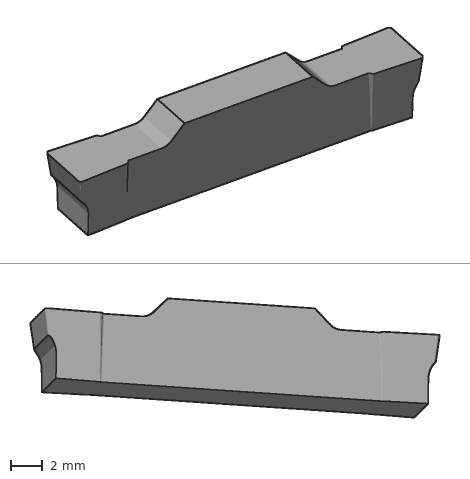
import cadquery as cq
import math

length = 25.8
height = 5.78
end_width = 4.02

body_width = 3.2
ledge_height = 4.5
crown_length = 9.6
ledge_fillet = 1.03

head_root = 9.3
head_root_width = 3.7
flank_inset = 0.2
blend_radius = 0.194
corner_radius = 0.2

face_bottom = 2.79
face_setback = 0.23
foot_height = 1.6
foot_setback = 0.75
relief_radius = 1.63

edge_margin = 0.03

half_length = length / 2
crown_rise = height - ledge_height
slope_foot = crown_length / 2 + crown_rise


def side_profile():
    """Lengthwise outline in the YZ plane with sloped, undercut ends."""
    foot = half_length - foot_setback
    face = half_length - face_setback
    return (
        cq.Workplane("YZ")
        .moveTo(-foot, 0)
        .lineTo(foot, 0)
        .lineTo(foot, foot_height)
        .radiusArc((face, face_bottom), relief_radius)
        .lineTo(half_length, ledge_height)
        .lineTo(slope_foot, ledge_height)
        .lineTo(crown_length / 2, height)
        .lineTo(-crown_length / 2, height)
        .lineTo(-slope_foot, ledge_height)
        .lineTo(-half_length, ledge_height)
        .lineTo(-face, face_bottom)
        .radiusArc((-foot, foot_height), relief_radius)
        .close()
    )


def head_section(z, inset):
    """Plan wire of the +Y head at height z, with each flank moved inwards by inset."""
    body_x = body_width / 2
    root_x = head_root_width / 2 - inset
    tip_x = end_width / 2 - inset
    step = root_x - body_x
    blend_length = math.sqrt(4 * blend_radius * step - step**2)
    blend_start = head_root - blend_length
    middle_x = body_x + step / 2
    middle_y = head_root - blend_length / 2
    return (
        cq.Workplane("XY", origin=(0, 0, z))
        .moveTo(-body_x, blend_start)
        .lineTo(body_x, blend_start)
        .radiusArc((middle_x, middle_y), blend_radius)
        .radiusArc((root_x, head_root), -blend_radius)
        .lineTo(tip_x, half_length)
        .lineTo(-tip_x, half_length)
        .lineTo(-root_x, head_root)
        .radiusArc((-middle_x, middle_y), -blend_radius)
        .radiusArc((-body_x, blend_start), blend_radius)
        .close()
        .val()
    )


def make_head():
    """Head at the +Y end, leaning inwards towards the bottom and relieved at its face."""
    bottom = head_section(0, flank_inset)
    top = head_section(ledge_height, 0)
    blank = cq.Workplane(cq.Solid.makeLoft([bottom, top], True))
    head = blank.intersect(side_profile().extrude(end_width, both=True))
    upper_face_corners = cq.selectors.BoxSelector(
        (-end_width, half_length - 2 * face_setback, face_bottom + edge_margin),
        (end_width, half_length + edge_margin, ledge_height - edge_margin),
    )
    return head.edges(upper_face_corners).fillet(corner_radius)


def make_body():
    """Narrow body with a raised crown, stopped inside the two heads."""
    body = side_profile().extrude(body_width / 2, both=True)
    crown_feet = cq.selectors.BoxSelector(
        (-end_width, -slope_foot - edge_margin, ledge_height - edge_margin),
        (end_width, slope_foot + edge_margin, ledge_height + edge_margin),
    )
    body = body.edges(crown_feet).edges("|X").fillet(ledge_fillet)
    body_limit = cq.Workplane("XY").box(end_width, 2 * head_root, 2 * height)
    return body.intersect(body_limit)


head = make_head()
result = make_body().union(head).union(head.mirror("XZ")).clean()